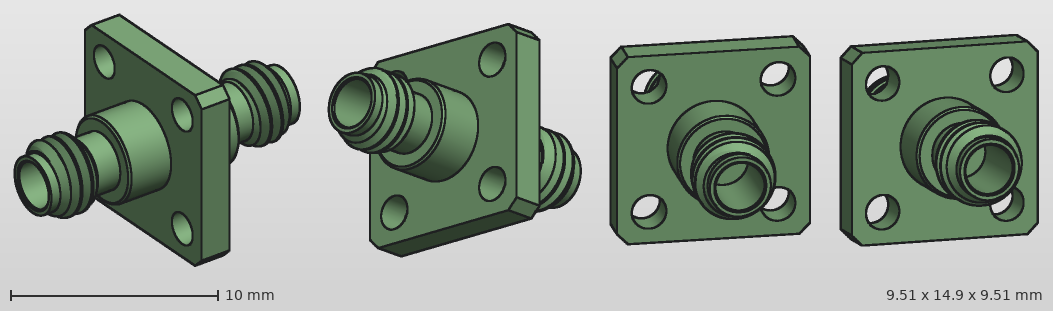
import cadquery as cq
import math

length = 14.91
half_length = length / 2

flange_side = 9.51
flange_thickness = 1.67
corner_chamfer = 0.54
hole_diameter = 1.7
hole_spacing = 6.35

hub_diameter = 4.53
hub_half_length = 3.32
hub_chamfer = 0.12
barrel_diameter = 3.01
barrel_radius = barrel_diameter / 2

bore_diameter = 2.42
bore_chamfer = 0.07
bore_depth = half_length - hub_half_length

thread_radius = 2.01
thread_root_radius = 1.54
thread_start = 4.65
thread_end = 6.92
thread_pitch = 0.66
thread_flank_angle = 30.0
groove_root_at_minus_x = 6.02
cutter_overshoot = 0.05


def make_flange():
    return (
        cq.Workplane("XY")
        .box(flange_side, flange_thickness, flange_side)
        .edges("|Y")
        .chamfer(corner_chamfer)
        .faces("<Y")
        .workplane(origin=(0, 0, 0))
        .rect(hole_spacing, hole_spacing, forConstruction=True)
        .vertices()
        .hole(hole_diameter)
    )


def make_hub():
    return (
        cq.Workplane("XZ")
        .circle(hub_diameter / 2)
        .extrude(hub_half_length, both=True)
        .faces("<Y or >Y")
        .edges()
        .chamfer(hub_chamfer)
    )


def make_groove_cutter():
    """Right-handed V groove along Z, overrunning both ends of the thread."""
    outer_radius = thread_radius + cutter_overshoot
    half_width = (outer_radius - thread_root_radius) * math.tan(math.radians(thread_flank_angle))
    turns_back = math.ceil((groove_root_at_minus_x - thread_start + half_width) / thread_pitch)
    base = groove_root_at_minus_x - turns_back * thread_pitch
    turns = math.ceil((thread_end + half_width - base) / thread_pitch)
    path = cq.Wire.makeHelix(thread_pitch, turns * thread_pitch, thread_root_radius)
    groove = (
        cq.Workplane("XZ")
        .moveTo(thread_root_radius, 0)
        .lineTo(outer_radius, half_width)
        .lineTo(outer_radius, -half_width)
        .close()
        .sweep(cq.Workplane(obj=path), isFrenet=True)
    )
    return groove.rotate((0, 0, 0), (0, 0, 1), 180).translate((0, 0, base))


def make_threaded_end():
    """The +Y end: barrel, thread with 45 degree lead-ins, and bore."""
    lead_in = thread_radius - barrel_radius
    blank = (
        cq.Workplane("XZ")
        .lineTo(barrel_radius, 0)
        .lineTo(barrel_radius, thread_start)
        .lineTo(thread_radius, thread_start + lead_in)
        .lineTo(thread_radius, thread_end - lead_in)
        .lineTo(barrel_radius, thread_end)
        .lineTo(barrel_radius, half_length)
        .lineTo(0, half_length)
        .close()
        .revolve(360, (0, 0, 0), (0, 1, 0))
    )
    bore = (
        cq.Workplane("XY")
        .workplane(offset=half_length - bore_depth)
        .circle(bore_diameter / 2)
        .extrude(bore_depth)
    )
    rod = cq.Workplane("XY").circle(thread_radius).extrude(half_length)
    rod = rod.rotate((0, 0, 0), (0, 0, 1), 180)
    threaded = rod.cut(make_groove_cutter()).intersect(blank).cut(bore)
    rim = cq.selectors.RadiusNthSelector(0)
    threaded = threaded.faces(">Z").edges(rim).chamfer(bore_chamfer)
    return threaded.rotate((0, 0, 0), (1, 0, 0), -90)


threaded_end = make_threaded_end()
result = make_flange().union(make_hub()).union(threaded_end).union(threaded_end.mirror("XZ"))